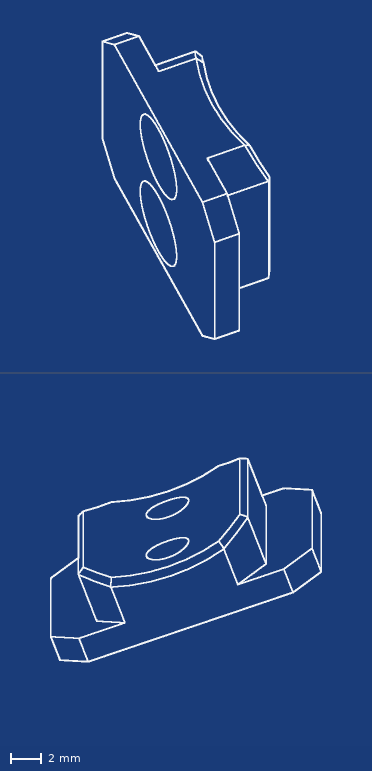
import cadquery as cq

plate_width = 18.5
height = 14.5
plate_thickness = 1.8
corner_cut = 2.0

saddle_width = 11.99
saddle_radius = 13.0
saddle_floor = 4.4
saddle_edge_chamfer = 0.5
block_depth = saddle_floor + saddle_radius / 2

hole_diameter = 3.0
counterbore_diameter = 6.0
counterbore_depth = 2.5
hole_spacing = height / 2


def clipped_block(width, depth):
    """Full-height block from Y = 0 to Y = depth with its four corners cut at 45 degrees."""
    return (
        cq.Workplane("XZ")
        .rect(width, height)
        .extrude(-depth)
        .edges("|Y")
        .chamfer(corner_cut)
    )


def make_saddle():
    """Block hollowed by a cylinder along Z, with every edge of the hollow chamfered."""
    cylinder = (
        cq.Workplane("XY")
        .center(0, saddle_floor + saddle_radius)
        .circle(saddle_radius)
        .extrude(height, both=True)
    )
    block = clipped_block(saddle_width, block_depth).cut(cylinder)
    return block.faces("%CYLINDER").edges().chamfer(saddle_edge_chamfer)


def screw_hole_cutter(diameter, depth):
    """Pair of cylinders running from the front face into the part."""
    return (
        cq.Workplane("XZ")
        .rarray(0.18, hole_spacing, 1, 2)
        .circle(diameter / 2)
        .extrude(-depth)
    )


body = clipped_block(plate_width, plate_thickness).union(make_saddle())
result = (
    body
    .cut(screw_hole_cutter(hole_diameter, block_depth))
    .cut(screw_hole_cutter(counterbore_diameter, counterbore_depth))
)